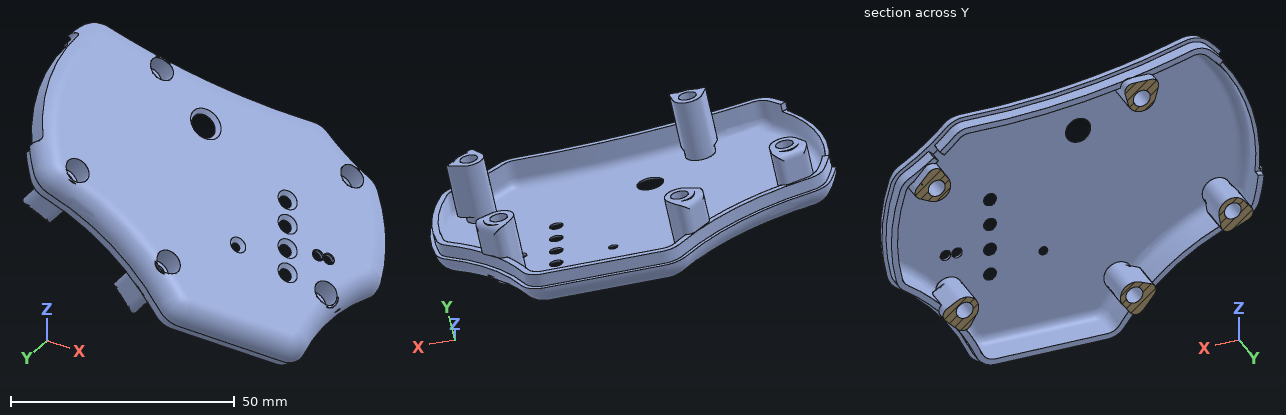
import math

import cadquery as cq

TOP_LEFT = (-29.25, 31.55)
TOP_RIGHT = (26.95, 24.25)
UPPER_RIGHT = (39.4, 14.7)
LOWER_RIGHT = (40.2, -7.35)
BOTTOM_RIGHT = (20.75, -31.425)
BOTTOM_LEFT = (-7.75, -31.425)
LOWER_LEFT = (-40.15, -7.75)

TOP_RADIUS = 180.0
SHOULDER_RADIUS = 55.0
RIGHT_RADIUS = 38.8
LOWER_RIGHT_RADIUS = 55.5
LOWER_LEFT_RADIUS = 58.0
LEFT_RADIUS = 39.8

EDGE_ROUND = 5.0
FACE_CORNER_ROUND = 1.0
RIM_DEPTH = EDGE_ROUND
LIP_DEPTH = 8.0
LIP_STEP = 1.0
WALL = 2.5
FLOOR = 1.0
FLOOR_ROUND = EDGE_ROUND - WALL

RECESS_CENTRE = (-1.8, 2.77)
RECESS_INSET = 1.5
RECESS_LIP_DEPTH = 6.2
RECESS_ANGLES = (140.3, 185.6)
RECESS_REACH = 60.0
RECESS_CORNER_ROUND = 1.0

SLOT_CENTRE = (34.4, 23.0)
SLOT_ANGLE = 45.0
SLOT_WIDTH = 1.8
SLOT_LENGTH = 6.0

POST_START = FLOOR / 2
POST_BACK = 15.5
POST_RADIUS = 3.45
SCREW_DIAMETER = 4.0
SCREW_HEAD_DIAMETER = 6.0
SCREW_HEAD_DEPTH = 5.0
BLOCK_REACH = 4.5
BLOCK_START = 2.5
BLOCK_FLARE = math.radians(15.0)
BLOCK_ROUND = 2.0
POSTS = [
    (-14.55, 27.2, 90.0),
    (35.35, 15.7, 41.0),
    (-36.7, -7.65, 246.0),
    (28.55, -17.9, 315.0),
    (-12.75, -23.9, 218.0),
]

BEVEL = 1.0
BUTTON = (-3.05, 16.4)
BUTTON_DIAMETER = 6.0
LED_X = 18.4
LED_TOP_Z = 3.44
LED_PITCH = 6.5
LED_COUNT = 4
LED_DIAMETER = 3.0
RESET = (5.4, -13.1)
RESET_DIAMETER = 2.0
PIN_X = (26.4, 29.2)
PIN_Z = -8.6
PIN_DIAMETER = 2.5
PIN_BEVEL = 0.2


def plane_at(depth):
    return cq.Workplane("XZ", origin=(0, depth, 0))


def front_face_outline(depth):
    return (
        plane_at(depth)
        .moveTo(*TOP_LEFT)
        .radiusArc(TOP_RIGHT, -TOP_RADIUS)
        .radiusArc(UPPER_RIGHT, -SHOULDER_RADIUS)
        .radiusArc(LOWER_RIGHT, RIGHT_RADIUS)
        .radiusArc(BOTTOM_RIGHT, -LOWER_RIGHT_RADIUS)
        .lineTo(*BOTTOM_LEFT)
        .radiusArc(LOWER_LEFT, -LOWER_LEFT_RADIUS)
        .radiusArc(TOP_LEFT, LEFT_RADIUS)
        .close()
    )


def slab(inset, start, end):
    """Plate whose outline lies `inset` inside the widest outline."""
    core = front_face_outline(start).offset2D(-FACE_CORNER_ROUND)
    return core.offset2D(FACE_CORNER_ROUND + EDGE_ROUND - inset, "arc").extrude(start - end)


def disc(x, z, diameter, start, end):
    return plane_at(start).center(x, z).circle(diameter / 2).extrude(start - end)


def shell():
    body = slab(0, 0, LIP_DEPTH).faces("<Y").edges().fillet(EDGE_ROUND)
    cavity = slab(WALL, FLOOR, LIP_DEPTH).faces("<Y").edges().fillet(FLOOR_ROUND)
    return body.cut(cavity)


def lip_rebate():
    """Ring outside the lip, reaching well past the widest outline."""
    beyond = -EDGE_ROUND
    return slab(beyond, RIM_DEPTH, LIP_DEPTH).cut(slab(LIP_STEP, RIM_DEPTH, LIP_DEPTH))


def lip_slot():
    return (
        plane_at(RIM_DEPTH)
        .center(*SLOT_CENTRE)
        .transformed(rotate=(0, 0, SLOT_ANGLE))
        .rect(SLOT_LENGTH, SLOT_WIDTH)
        .extrude(RIM_DEPTH - LIP_DEPTH)
    )


def left_recess():
    ends = []
    for angle in RECESS_ANGLES:
        x = RECESS_CENTRE[0] + RECESS_REACH * math.cos(math.radians(angle))
        z = RECESS_CENTRE[1] + RECESS_REACH * math.sin(math.radians(angle))
        ends.append((x, z))
    sector = plane_at(0).polyline([RECESS_CENTRE, *ends]).close().extrude(-LIP_DEPTH)
    outside = sector.cut(slab(RECESS_INSET, 0, LIP_DEPTH))
    outside = outside.edges("|Y").fillet(RECESS_CORNER_ROUND)
    lip = sector.intersect(slab(0, RECESS_LIP_DEPTH, LIP_DEPTH))
    return outside.union(lip)


def post(x, z, angle):
    """Round column with a block that widens along the tangents of the column."""
    column = disc(x, z, 2 * POST_RADIUS, POST_START, POST_BACK)
    tail = -POST_RADIUS * math.sin(BLOCK_FLARE)
    tail_half_width = POST_RADIUS * math.cos(BLOCK_FLARE)
    end_half_width = tail_half_width + (BLOCK_REACH - tail) * math.tan(BLOCK_FLARE)
    block = (
        plane_at(BLOCK_START)
        .moveTo(tail, -tail_half_width)
        .lineTo(BLOCK_REACH, -end_half_width)
        .lineTo(BLOCK_REACH, end_half_width)
        .lineTo(tail, tail_half_width)
        .close()
        .extrude(BLOCK_START - POST_BACK)
    )
    block = block.edges("(>X and |Y) or (>X and >Y)").fillet(BLOCK_ROUND)
    block = block.rotate((0, 0, 0), (0, -1, 0), angle).translate((x, 0, z))
    return column.union(block)


def bevelled_hole(x, z, diameter, bevel_size=BEVEL):
    radius = diameter / 2
    centre = cq.Vector(x, 0, z)
    bevel = cq.Solid.makeCone(radius + bevel_size, radius, bevel_size, centre, cq.Vector(0, 1, 0))
    return disc(x, z, diameter, 0, LIP_DEPTH).union(cq.Workplane(bevel))


def add_posts(cover):
    for x, z, angle in POSTS:
        cover = cover.union(post(x, z, angle))
    return cover


def drill_screw_holes(cover):
    for x, z, _ in POSTS:
        cover = cover.cut(disc(x, z, SCREW_DIAMETER, 0, POST_BACK))
        cover = cover.cut(disc(x, z, SCREW_HEAD_DIAMETER, 0, SCREW_HEAD_DEPTH))
    return cover


def drill_floor(cover):
    cover = cover.cut(bevelled_hole(*BUTTON, BUTTON_DIAMETER))
    cover = cover.cut(bevelled_hole(*RESET, RESET_DIAMETER))
    for row in range(LED_COUNT):
        cover = cover.cut(bevelled_hole(LED_X, LED_TOP_Z - row * LED_PITCH, LED_DIAMETER))
    for x in PIN_X:
        cover = cover.cut(bevelled_hole(x, PIN_Z, PIN_DIAMETER, PIN_BEVEL))
    return cover


cover = shell().cut(left_recess()).cut(lip_slot())
cover = add_posts(cover).cut(lip_rebate())
result = drill_floor(drill_screw_holes(cover))